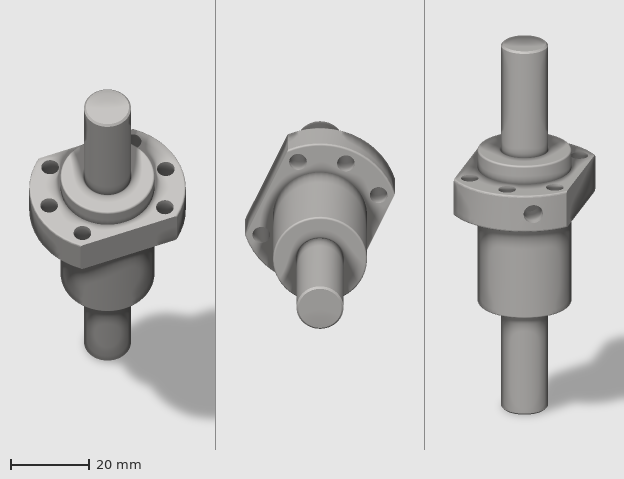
import cadquery as cq
import math

shaft_diameter = 12.0
shaft_length = 100.0
shaft_chamfer = 0.5

nut_diameter = 24.0
nut_length = 42.0
nut_fillet = 0.5

flange_diameter = 40.0
flange_width = 30.0
flange_thickness = 10.0
flange_fillet = 0.5
flange_setback = 5.0
flange_top = nut_length / 2 - flange_setback
flange_bottom = flange_top - flange_thickness

mounting_hole_diameter = 4.5
mounting_circle_diameter = 32.0
mounting_hole_spacing = 45.0
mounting_holes_per_end = 3
mounting_hole_span = (mounting_holes_per_end - 1) * mounting_hole_spacing

oil_hole_diameter = 4.92
oil_hole_angle = 90.0 + mounting_hole_spacing / 2
oil_hole_depth = (flange_diameter - nut_diameter) / 2


def make_shaft():
    shaft = cq.Workplane("XY").cylinder(shaft_length, shaft_diameter / 2)
    return shaft.faces("<Z or >Z").chamfer(shaft_chamfer)


def make_nut_body():
    """Sleeve around the shaft, with its end edges rounded inside and out."""
    body = cq.Workplane("XY").cylinder(nut_length, nut_diameter / 2)
    bore = cq.Workplane("XY").cylinder(nut_length, shaft_diameter / 2)
    return body.cut(bore).faces("<Z or >Z").edges().fillet(nut_fillet)


def make_flange():
    disc = (
        cq.Workplane("XY")
        .workplane(offset=flange_bottom)
        .circle(flange_diameter / 2)
        .extrude(flange_thickness)
        .faces("<Z or >Z")
        .fillet(flange_fillet)
    )
    width_limit = cq.Workplane("XY").box(flange_width, flange_diameter, nut_length)
    return disc.intersect(width_limit)


def make_mounting_holes():
    holes = cq.Workplane("XY").workplane(offset=flange_bottom)
    for end_angle in (90.0, 270.0):
        holes = holes.polarArray(
            mounting_circle_diameter / 2,
            end_angle - mounting_hole_span / 2,
            mounting_hole_span,
            mounting_holes_per_end,
        )
        holes = holes.circle(mounting_hole_diameter / 2).extrude(flange_thickness)
    return holes


def make_oil_hole():
    angle = math.radians(oil_hole_angle)
    outward = cq.Vector(math.cos(angle), math.sin(angle), 0)
    floor_center = outward * (flange_diameter / 2 - oil_hole_depth)
    floor_center += cq.Vector(0, 0, (flange_top + flange_bottom) / 2)
    floor_plane = cq.Plane(origin=floor_center, normal=outward)
    return cq.Workplane(floor_plane).circle(oil_hole_diameter / 2).extrude(oil_hole_depth)


nut = make_nut_body().union(make_flange())
nut = nut.cut(make_mounting_holes()).cut(make_oil_hole())
result = nut.union(make_shaft())